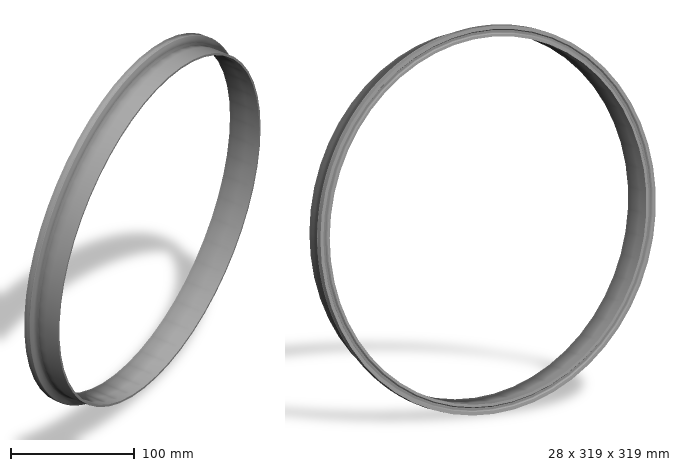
import cadquery as cq
import math

length = 28.0
flange_radius = 159.5
bore_radius = 150.5
wall = 2.0
sleeve_radius = bore_radius + wall

rim_width = 5.5
clamp_angle = 20.0
rim_fillet = 1.0
root_fillet = 2.0
taper_width = (flange_radius - sleeve_radius) * math.tan(math.radians(clamp_angle))

groove_radius = 154.7
groove_mouth = 3.8
groove_floor = 2.0
groove_depth = 1.5


def revolve_about_x(points):
    """Turn a closed outline of (axial, radial) points about the X axis."""
    return cq.Workplane("XY").polyline(points).close().revolve(360, (0, 0, 0), (1, 0, 0))


def circle_edge_at(x, radius):
    """Pick the circular edge lying at one axial position and radius."""
    reach = radius + 0.3
    margin = 0.15
    return cq.selectors.BoxSelector(
        (x - margin, -reach, -reach), (x + margin, reach, reach), boundingbox=True
    )


def ferrule_body():
    taper_end = rim_width + taper_width
    body = revolve_about_x([
        (0, bore_radius),
        (0, flange_radius),
        (rim_width, flange_radius),
        (taper_end, sleeve_radius),
        (length, sleeve_radius),
        (length, bore_radius),
    ])
    body = body.edges(circle_edge_at(rim_width, flange_radius)).fillet(rim_fillet)
    return body.edges(circle_edge_at(taper_end, sleeve_radius)).fillet(root_fillet)


def seal_groove():
    return revolve_about_x([
        (0, groove_radius - groove_mouth / 2),
        (groove_depth, groove_radius - groove_floor / 2),
        (groove_depth, groove_radius + groove_floor / 2),
        (0, groove_radius + groove_mouth / 2),
    ])


result = ferrule_body().cut(seal_groove())